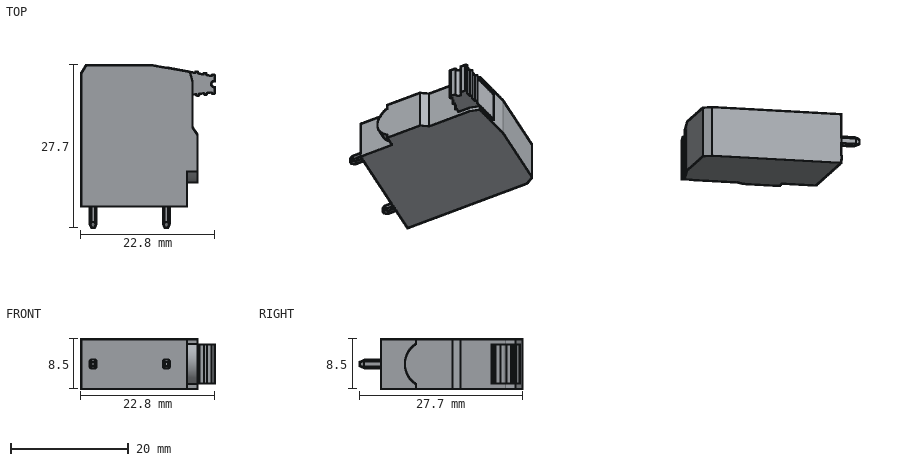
import cadquery as cq
import math


overall_height = 27.7

thickness = 8.5
height = 24.07
foot_width = 18.0
belly_width = 19.8
neck_width = 18.95
corner_cut_x = 0.85
corner_cut_y = 1.38
roof_slope_start_x = 11.97
shoulder_x = 18.5
shoulder_y = 22.88
neck_top_y = 21.15
neck_bottom_y = 13.5
belly_top_y = 12.2
belly_bottom_y = 5.95

nub_span = 6.81
nub_drop = 1.88

lever_thickness = 6.68
lever_start_x = 14.68
lever_end_x = 22.75
lever_top_y = 23.65
lever_top_fall = 0.19
lever_bottom_y = 18.5
lever_bottom_rise = 0.12
ridge_radius = 0.28
top_ridge_pitch = 1.4
bottom_ridge_pitch = 1.33
ridge_count = 3
thumb_groove_radius = 0.5
thumb_groove_inset = 0.1
thumb_groove_y = 20.83

pin_length = overall_height - height
pin_width = 1.2
pin_thickness = 1.52
pin_edge_chamfer = 0.3
pin_tip_width = 0.53
pin_tip_thickness = 0.65
pin_tip_taper = 24
pin_embed = 0.28
first_pin_x = 2.02
pin_pitch = 12.46


def slab(outline, depth):
    """Extrude a closed XY outline symmetrically about the middle plane."""
    return outline.close().extrude(depth / 2, both=True)


def make_housing():
    outline = cq.Workplane("XY").polyline([
        (0, 0),
        (foot_width, 0),
        (foot_width, belly_bottom_y),
        (belly_width, belly_bottom_y),
        (belly_width, belly_top_y),
        (neck_width, neck_bottom_y),
        (neck_width, neck_top_y),
        (shoulder_x, shoulder_y),
        (roof_slope_start_x, height),
        (corner_cut_x, height),
        (0, height - corner_cut_y),
    ])
    return slab(outline, thickness)


def make_nub():
    """Circular segment bulging down from the belly step."""
    return (
        cq.Workplane("YZ", origin=(foot_width, 0, 0))
        .moveTo(belly_bottom_y, -nub_span / 2)
        .threePointArc((belly_bottom_y - nub_drop, 0), (belly_bottom_y, nub_span / 2))
        .close()
        .extrude(belly_width - foot_width)
    )


def lever_top_at(x):
    return lever_top_y - lever_top_fall * (x - lever_start_x)


def lever_bottom_at(x):
    return lever_bottom_y + lever_bottom_rise * (x - lever_start_x)


def make_lever():
    outline = cq.Workplane("XY").polyline([
        (lever_start_x, lever_bottom_at(lever_start_x)),
        (lever_end_x, lever_bottom_at(lever_end_x)),
        (lever_end_x, lever_top_at(lever_end_x)),
        (lever_start_x, lever_top_at(lever_start_x)),
    ])
    lever = slab(outline, lever_thickness)

    ridge_points = []
    for i in range(ridge_count):
        top_x = lever_end_x - ridge_radius - i * top_ridge_pitch
        bottom_x = lever_end_x - ridge_radius - i * bottom_ridge_pitch
        ridge_points.append((top_x, lever_top_at(top_x)))
        ridge_points.append((bottom_x, lever_bottom_at(bottom_x)))
    ridges = (
        cq.Workplane("XY")
        .pushPoints(ridge_points)
        .circle(ridge_radius)
        .extrude(lever_thickness / 2, both=True)
    )
    thumb_groove = (
        cq.Workplane("XY")
        .center(lever_end_x - thumb_groove_inset, thumb_groove_y)
        .circle(thumb_groove_radius)
        .extrude(lever_thickness / 2, both=True)
    )
    return lever.union(ridges).cut(thumb_groove)


def make_pin(x):
    """Pin with chamfered long edges and a four-sided tapered tip, pointing down."""
    tip_plane = cq.Plane(origin=(x, -pin_length, 0), xDir=(1, 0, 0), normal=(0, 1, 0))
    full_length = pin_length + pin_embed
    spread = 2 * full_length * math.tan(math.radians(pin_tip_taper))
    shank = (
        cq.Workplane(tip_plane)
        .rect(pin_width, pin_thickness)
        .extrude(full_length)
        .edges("|Y")
        .chamfer(pin_edge_chamfer)
    )
    tip_wedge = (
        cq.Workplane(tip_plane)
        .rect(pin_tip_width, pin_tip_thickness)
        .workplane(offset=full_length)
        .rect(pin_tip_width + spread, pin_tip_thickness + spread)
        .loft(ruled=True)
    )
    return shank.intersect(tip_wedge)


result = make_housing().union(make_nub()).union(make_lever())
for pin_x in (first_pin_x, first_pin_x + pin_pitch):
    result = result.union(make_pin(pin_x))